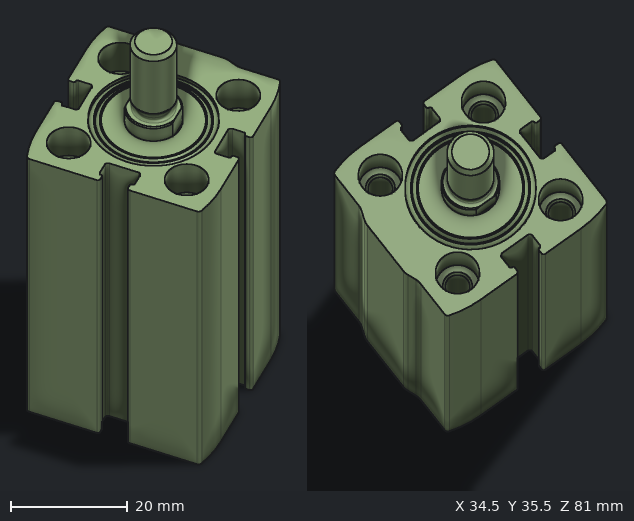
import cadquery as cq
import math

total_height = 81.0
housing_height = 62.0
half_width = 17.25

flat_half_length = 10.7
side_arc_radius = 20.0
corner_radius = 0.7
rib_height = 1.0
rib_top_half_width = 5.7
rib_base_half_width = 8.3
rib_blend_radius = 3.0

slot_mouth_width = 5.2
slot_inner_width = 6.6
slot_depth = 4.5
slot_lip_thickness = 1.45
slot_mouth_radius = 0.5
slot_floor_radius = 0.6
slot_lip_radius = 0.3

hole_spacing = 22.0
hole_diameter = 4.2
counterbore_diameter = 7.5
counterbore_depth = 7.0
countersink_width = 0.4

cover_recess_diameter = 22.4
outer_ring_top_diameter = 20.5
inner_ring_diameter = 20.0
ledge_outer_diameter = 18.5
disc_diameter = 17.9
disc_drop = 0.3
outer_ring_base_drop = 0.7
ledge_drop = 0.25
inner_ring_base_drop = 0.7

rod_diameter = 10.0
rod_insertion = 8.1
collar_height = 3.0
collar_chamfer = 0.25
flat_across = 9.0
flat_insertion = 1.05
neck_diameter = 6.4
neck_fillet = 0.65
thread_diameter = 8.0
thread_start = 5.35
tip_chamfer = 0.8


def housing_blank():
    """Extruded outline: flat sides with curved ends, and rounded corners."""
    corner_rise = half_width - flat_half_length
    corner_inset = side_arc_radius - math.sqrt(side_arc_radius**2 - corner_rise**2)
    mid_rise = corner_rise / 2
    mid_inset = side_arc_radius - math.sqrt(side_arc_radius**2 - mid_rise**2)
    corner_x = half_width - corner_inset
    mid_x = half_width - mid_inset
    mid_y = flat_half_length + mid_rise
    outline = (
        cq.Workplane("XY")
        .moveTo(-corner_x, -half_width)
        .lineTo(corner_x, -half_width)
        .threePointArc((mid_x, -mid_y), (half_width, -flat_half_length))
        .lineTo(half_width, flat_half_length)
        .threePointArc((mid_x, mid_y), (corner_x, half_width))
        .lineTo(-corner_x, half_width)
        .threePointArc((-mid_x, mid_y), (-half_width, flat_half_length))
        .lineTo(-half_width, -flat_half_length)
        .threePointArc((-mid_x, -mid_y), (-corner_x, -half_width))
        .close()
    )
    blank = outline.extrude(housing_height)
    for end in ("|Z and <Y", "|Z and >Y"):
        blank = blank.edges(end).fillet(corner_radius)
    return blank


def add_rib(body):
    """Low rib along the +Y face, blended into it with rounded flanks."""
    rib_top = half_width + rib_height
    ribbed = body.union(
        cq.Workplane("XY")
        .polyline([
            (-rib_base_half_width, half_width),
            (-rib_top_half_width, rib_top),
            (rib_top_half_width, rib_top),
            (rib_base_half_width, half_width),
            (rib_base_half_width, 0),
            (-rib_base_half_width, 0),
        ])
        .close()
        .extrude(housing_height)
    )
    margin = rib_height / 10
    rib_edges = cq.selectors.BoxSelector(
        (-rib_base_half_width - margin, half_width - margin, 0),
        (rib_base_half_width + margin, rib_top + margin, housing_height),
    )
    return ribbed.edges("|Z").edges(rib_edges).fillet(rib_blend_radius)


def t_slot_cutter():
    """T-slot that opens through the -Y face."""
    mouth = slot_mouth_width / 2
    face = -half_width
    lip = face + slot_lip_thickness
    floor = face + slot_depth
    channel = (
        cq.Workplane("XY")
        .moveTo(0, (lip + floor) / 2)
        .rect(slot_inner_width, floor - lip)
        .extrude(housing_height)
        .edges("|Z and >Y")
        .fillet(slot_floor_radius)
        .edges("|Z and <Y")
        .fillet(slot_lip_radius)
    )
    opening = (
        cq.Workplane("XY")
        .moveTo(-mouth - slot_mouth_radius, face)
        .radiusArc((-mouth, face + slot_mouth_radius), -slot_mouth_radius)
        .lineTo(-mouth, lip)
        .lineTo(mouth, lip)
        .lineTo(mouth, face + slot_mouth_radius)
        .radiusArc((mouth + slot_mouth_radius, face), -slot_mouth_radius)
        .close()
        .extrude(housing_height)
    )
    lip_edges = cq.selectors.BoxSelector(
        (-mouth - slot_lip_radius / 2, lip - slot_lip_radius / 2, 0),
        (mouth + slot_lip_radius / 2, lip + slot_lip_radius / 2, housing_height),
    )
    return channel.union(opening).edges("|Z").edges(lip_edges).fillet(slot_lip_radius)


def mounting_hole_cutter():
    """Through hole with a counterbore at the top and a bevel at its floor."""
    hole = hole_diameter / 2
    bore = counterbore_diameter / 2
    bore_floor = housing_height - counterbore_depth
    return (
        cq.Workplane("XZ")
        .polyline([
            (0, 0),
            (hole, 0),
            (hole, bore_floor - countersink_width),
            (hole + countersink_width, bore_floor),
            (bore, bore_floor),
            (bore, housing_height),
            (0, housing_height),
        ])
        .close()
        .revolve(360, (0, 0, 0), (0, 1, 0))
    )


def cover_cutter():
    """Material removed from the top face to leave the conical rings and the disc."""
    profile = [
        (0, 0),
        (cover_recess_diameter / 2, 0),
        (cover_recess_diameter / 2, outer_ring_base_drop),
        (outer_ring_top_diameter / 2, disc_drop),
        (inner_ring_diameter / 2, disc_drop),
        (inner_ring_diameter / 2, inner_ring_base_drop),
        (ledge_outer_diameter / 2, ledge_drop),
        (disc_diameter / 2, ledge_drop),
        (disc_diameter / 2, disc_drop),
        (0, disc_drop),
    ]
    return (
        cq.Workplane("XZ")
        .polyline([(radius, housing_height - drop) for radius, drop in profile])
        .close()
        .revolve(360, (0, 0, 0), (0, 1, 0))
    )


def rod_bore_cutter():
    """Blind bore that the lower end of the rod fills."""
    return (
        cq.Workplane("XY", origin=(0, 0, housing_height - rod_insertion))
        .circle(rod_diameter / 2)
        .extrude(rod_insertion)
    )


def make_housing():
    """Extruded housing with its T-slots, mounting holes, end cover and rod bore."""
    body = add_rib(housing_blank())
    for angle in (-90, 0, 90):
        body = body.cut(t_slot_cutter().rotate((0, 0, 0), (0, 0, 1), angle))
    for x in (-hole_spacing / 2, hole_spacing / 2):
        for y in (-hole_spacing / 2, hole_spacing / 2):
            body = body.cut(mounting_hole_cutter().translate((x, y, 0)))
    return body.cut(cover_cutter()).cut(rod_bore_cutter()).solids().val()


def rod_turning():
    """Turned rod: shank with collar, relieved neck and chamfered thread."""
    shank = rod_diameter / 2
    neck = neck_diameter / 2
    thread = thread_diameter / 2
    collar_top = housing_height + collar_height
    thread_bottom = housing_height + thread_start
    neck_top = thread_bottom - (thread - neck)
    blend_angle = math.radians(45)
    blend_length = neck_fillet * math.tan(blend_angle / 2)
    blend_centre = (neck + neck_fillet, neck_top - blend_length)
    blend_middle = (
        blend_centre[0] - neck_fillet * math.cos(blend_angle / 2),
        blend_centre[1] + neck_fillet * math.sin(blend_angle / 2),
    )
    blend_end = (
        blend_centre[0] - neck_fillet * math.cos(blend_angle),
        blend_centre[1] + neck_fillet * math.sin(blend_angle),
    )
    return (
        cq.Workplane("XZ")
        .moveTo(0, housing_height - rod_insertion)
        .lineTo(shank, housing_height - rod_insertion)
        .lineTo(shank, collar_top - collar_chamfer)
        .lineTo(shank - collar_chamfer, collar_top)
        .lineTo(neck + neck_fillet, collar_top)
        .radiusArc((neck, collar_top + neck_fillet), neck_fillet)
        .lineTo(neck, blend_centre[1])
        .threePointArc(blend_middle, blend_end)
        .lineTo(thread, thread_bottom)
        .lineTo(thread, total_height - tip_chamfer)
        .lineTo(thread - tip_chamfer, total_height)
        .lineTo(0, total_height)
        .close()
        .revolve(360, (0, 0, 0), (0, 1, 0))
    )


def wrench_flat_cutter():
    """Removes the +X side of the collar and runs out at 45 degrees at the bottom."""
    inner = flat_across / 2
    outer = rod_diameter / 2
    flat_bottom = housing_height - flat_insertion
    collar_top = housing_height + collar_height
    return (
        cq.Workplane("XZ")
        .polyline([
            (inner, flat_bottom),
            (outer, flat_bottom - (outer - inner)),
            (outer, collar_top),
            (inner, collar_top),
        ])
        .close()
        .extrude(rod_diameter / 2, both=True)
    )


def make_rod():
    """Turned rod with two wrench flats across the collar."""
    rod = rod_turning()
    for angle in (0, 180):
        rod = rod.cut(wrench_flat_cutter().rotate((0, 0, 0), (0, 0, 1), angle))
    return rod.solids().val()


housing = make_housing()
rod = make_rod()
result = cq.Compound.makeCompound([housing, rod])